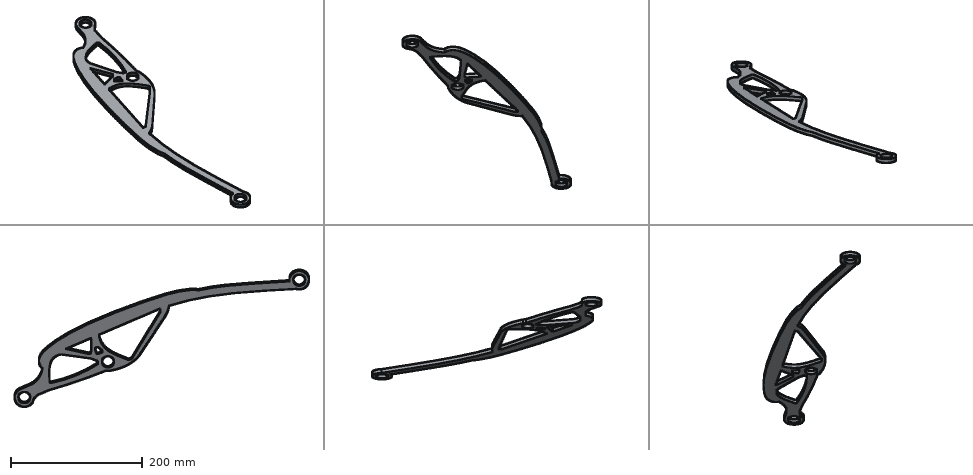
import cadquery as cq
import math

thickness = 6.3
overall_length = 489.96
eye_radius = 15.0
bore_diameter = 18.0
eye_spacing = overall_length - 2 * eye_radius
pivot_x = 140.0
beam_top_y = -45.5
crest = (158.0, 17.3)
neck_flat_end = 15.0
keel = (158.0, -68.64)

left_eye_top_angle = 55.0
right_eye_top_angle = 133.0
right_eye_bottom_angle = 197.0


def on_eye(center_x, angle):
    """Point on the rim of an eye, at an angle in degrees from +X."""
    turn = math.radians(angle)
    return (center_x + eye_radius * math.cos(turn), eye_radius * math.sin(turn))


def solid_from(outline):
    """Closed outline raised to the plate thickness."""
    return outline.close().extrude(thickness)


def plate_body():
    """Outer shape, drawn clockwise from the top of the left eye."""
    outline = (
        cq.Workplane("XY")
        .moveTo(*on_eye(0, left_eye_top_angle))
        .threePointArc((14.0, 7.3), (21.0, 4.6))
        .lineTo(39.0, 4.7)
        .threePointArc((83.0, 9.3), (131.5, 11.8))
        .lineTo(135.5, 14.3)
        .spline([crest, (173.0, 15.9), (191.3, 8.2)], includeCurrent=True)
        .lineTo(248.9, -30.3)
        .spline([(255.5, -35.4), (262.5, -44.0)], includeCurrent=True)
        .spline(
            [(315.3, -35.0), (376.6, -16.5), on_eye(eye_spacing, right_eye_top_angle)],
            includeCurrent=True,
        )
        .threePointArc(on_eye(eye_spacing, 0), on_eye(eye_spacing, right_eye_bottom_angle))
        .spline([(383.3, -27.6), (350.8, -38.8), (313.9, -48.3)], includeCurrent=True)
        .lineTo(305.0, -53.2)
        .spline(
            [(281.4, -59.8), (243.0, -64.7), keel, (87.9, -64.0), (59.8, -56.7), (49.5, -51.0),
             (43.6, -42.1), (44.6, -31.6)],
            includeCurrent=True,
        )
        .lineTo(42.8, -28.8)
        .spline([(31.0, -18.8), (20.0, -15.2), (neck_flat_end, -eye_radius)], includeCurrent=True)
        .lineTo(0, -eye_radius)
        .threePointArc(on_eye(0, 180), on_eye(0, left_eye_top_angle))
    )
    return solid_from(outline)


def front_window():
    """Large window between the left neck and the diagonal strut."""
    top_left = (48.0, -4.6)
    right_x = 125.2
    return solid_from(
        cq.Workplane("XY")
        .moveTo(*top_left)
        .threePointArc((86.0, -0.3), (right_x, -3.4))
        .lineTo(right_x, -8.3)
        .lineTo(118.9, -15.3)
        .lineTo(104.1, -24.9)
        .lineTo(80.5, -40.0)
        .spline(
            [(74.0, -41.2), (67.0, -39.6), (57.6, -31.6), (51.0, -20.0), (45.8, -7.4)],
            includeCurrent=True,
        )
        .threePointArc((46.0, -5.6), top_left)
    )


def strut_window():
    """Small triangular window on the lower beam."""
    right_x = 131.7
    return solid_from(
        cq.Workplane("XY")
        .moveTo(90.5, beam_top_y)
        .lineTo(117.4, -24.8)
        .threePointArc((121.1, -23.6), (123.8, -26.0))
        .lineTo(right_x, -43.8)
        .lineTo(right_x, beam_top_y)
    )


def pivot_slot():
    """Small tapered opening below the pivot bore."""
    top_left = (131.5, -17.8)
    right_x = 139.0
    return solid_from(
        cq.Workplane("XY")
        .moveTo(*top_left)
        .lineTo(right_x, top_left[1])
        .lineTo(right_x, -20.8)
        .lineTo(136.6, -26.8)
        .threePointArc((133.7, -28.5), (130.2, -26.2))
        .lineTo(129.8, -20.0)
        .threePointArc((130.2, -18.4), top_left)
    )


def rear_window():
    """Large window between the pivot, the sloping brace and the lower beam."""
    right_x = 247.0
    return solid_from(
        cq.Workplane("XY")
        .moveTo(145.3, beam_top_y)
        .spline([(143.6, -34.7), (145.3, -22.9), (153.6, -8.1), (168.4, 8.6)], includeCurrent=True)
        .threePointArc((172.5, 10.5), (176.5, 9.2))
        .lineTo(245.5, -40.2)
        .threePointArc((246.9, -41.8), (right_x, -43.5))
        .lineTo(right_x, beam_top_y)
    )


def bores():
    """Through bores in both eyes and at the pivot."""
    centers = [(0, 0), (pivot_x, 0), (eye_spacing, 0)]
    return cq.Workplane("XY").pushPoints(centers).circle(bore_diameter / 2).extrude(thickness)


result = plate_body()
for opening in (front_window(), strut_window(), pivot_slot(), rear_window(), bores()):
    result = result.cut(opening)